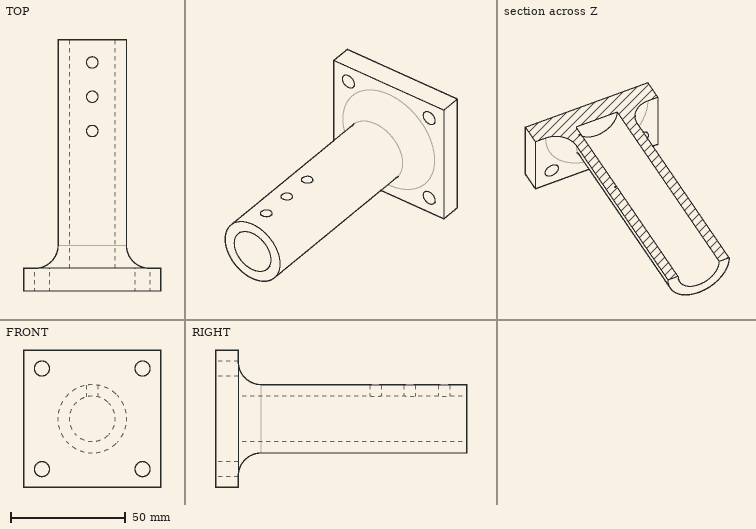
import cadquery as cq
import math

plate_side = 60.0
plate_thickness = 10.0
bolt_spacing = 44.0
bolt_hole_diameter = 6.5

post_diameter = 30.0
post_length = 100.0
bore_diameter = 20.0
bore_depth = post_length
root_fillet_radius = 10.0

pin_hole_diameter = 5.0
pin_hole_count = 3
pin_hole_pitch = 15.0
first_pin_from_end = 10.0

post_radius = post_diameter / 2
total_length = plate_thickness + post_length


def make_plate():
    """Square plate with a bolt hole near each corner."""
    plate = cq.Workplane("XY").box(
        plate_side, plate_thickness, plate_side, centered=(True, False, True)
    )
    return (
        plate.faces("<Y")
        .workplane(centerOption="CenterOfBoundBox")
        .rect(bolt_spacing, bolt_spacing, forConstruction=True)
        .vertices()
        .hole(bolt_hole_diameter)
    )


def make_post():
    """Solid post with a concave fillet at its root, revolved about the Y axis."""
    fillet_outer_radius = post_radius + root_fillet_radius
    fillet_end = plate_thickness + root_fillet_radius
    arc_middle_offset = root_fillet_radius * (1 - math.cos(math.pi / 4))
    return (
        cq.Workplane("XY")
        .moveTo(0, plate_thickness)
        .lineTo(fillet_outer_radius, plate_thickness)
        .threePointArc(
            (post_radius + arc_middle_offset, plate_thickness + arc_middle_offset),
            (post_radius, fillet_end),
        )
        .lineTo(post_radius, total_length)
        .lineTo(0, total_length)
        .close()
        .revolve(360, (0, 0), (0, 1))
    )


def make_bore():
    """Cutter for the blind bore, entering from the free end of the post."""
    return (
        cq.Workplane("XZ", origin=(0, total_length, 0))
        .circle(bore_diameter / 2)
        .extrude(bore_depth)
    )


def make_pin_holes():
    """Cutters from the post axis up through the top wall, spaced along the post."""
    first_pin_y = total_length - first_pin_from_end
    centers = [(0, first_pin_y - i * pin_hole_pitch) for i in range(pin_hole_count)]
    return (
        cq.Workplane("XY")
        .pushPoints(centers)
        .circle(pin_hole_diameter / 2)
        .extrude(post_radius)
    )


result = make_plate().union(make_post()).cut(make_bore()).cut(make_pin_holes())